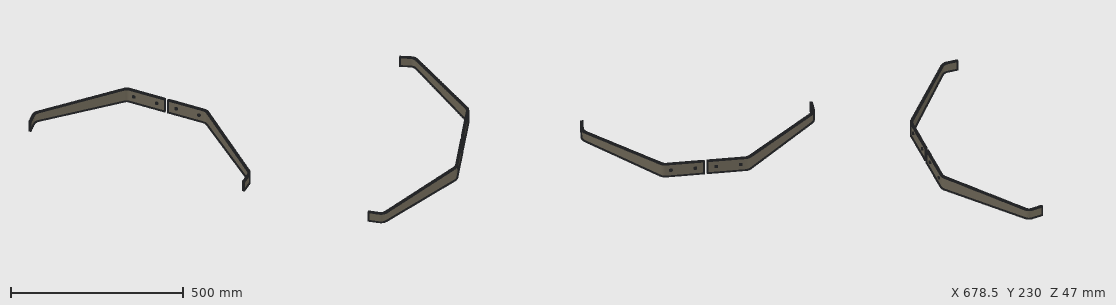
import cadquery as cq
import math

width = 678.5
depth = 230.0
height = 47.0

thickness = 5.0
inner_radius = 20.0
outer_radius = inner_radius + thickness
gap = 10.0
plate_end_x = gap / 2
plate_bend_x = 116.0
tip_bend_y = -197.0
tip_lean = math.radians(4)
tip_height = 33.0

hole_diameter = 6.0
hole_positions = [30.5, 102.0]
hole_z = height / 2

plate_bend_center = cq.Vector(plate_bend_x, -outer_radius)
tip_bend_center = cq.Vector(width / 2 - outer_radius, tip_bend_y)
arm_run = tip_bend_center - plate_bend_center
arm_angle = math.atan2(-arm_run.y, arm_run.x)

plate_normal = math.pi / 2
arm_normal = plate_normal - arm_angle
tip_normal = -tip_lean
tip_length = (depth + tip_bend_y - outer_radius * math.sin(tip_lean)) / math.cos(tip_lean)


def bend_point(center, radius, angle):
    return center + cq.Vector(math.cos(angle), math.sin(angle)) * radius


def surface_points(radius):
    """Points along one strip face: plate end, both bends with midpoints, tip end."""
    plate_end = cq.Vector(plate_end_x, plate_bend_center.y + radius)
    plate_bend = [
        bend_point(plate_bend_center, radius, angle)
        for angle in (plate_normal, (plate_normal + arm_normal) / 2, arm_normal)
    ]
    tip_bend = [
        bend_point(tip_bend_center, radius, angle)
        for angle in (arm_normal, (arm_normal + tip_normal) / 2, tip_normal)
    ]
    tip_end = tip_bend[-1] + cq.Vector(-math.sin(tip_lean), -math.cos(tip_lean)) * tip_length
    return [plate_end, *plate_bend, *tip_bend, tip_end]


def bent_strip():
    outer = surface_points(outer_radius)
    inner = surface_points(inner_radius)[::-1]
    profile = cq.Workplane("XY").moveTo(outer[0].x, outer[0].y)
    for index, face in enumerate((outer, inner)):
        start, bend_1, middle_1, arm_1, arm_2, middle_2, bend_2, end = face
        if index > 0:
            profile = profile.lineTo(start.x, start.y)
        profile = (
            profile.lineTo(bend_1.x, bend_1.y)
            .threePointArc(middle_1.toTuple()[:2], arm_1.toTuple()[:2])
            .lineTo(arm_2.x, arm_2.y)
            .threePointArc(middle_2.toTuple()[:2], bend_2.toTuple()[:2])
            .lineTo(end.x, end.y)
        )
    return profile.close().extrude(height)


def side_envelope():
    """Front silhouette: full height at the plate, tapering along the arm to the tip."""
    taper_start_x = bend_point(plate_bend_center, inner_radius, arm_normal).x
    taper_end_x = bend_point(tip_bend_center, outer_radius, arm_normal).x
    return (
        cq.Workplane("XZ")
        .polyline([
            (0, 0),
            (width / 2, 0),
            (width / 2, tip_height),
            (taper_end_x, tip_height),
            (taper_start_x, height),
            (0, height),
        ])
        .close()
        .extrude(depth)
    )


def mounting_holes():
    return (
        cq.Workplane("XZ")
        .pushPoints([(x, hole_z) for x in hole_positions])
        .circle(hole_diameter / 2)
        .extrude(outer_radius)
    )


def bracket(mirrored):
    body = bent_strip().intersect(side_envelope()).cut(mounting_holes())
    if mirrored:
        body = body.mirror("YZ")
    return body


brackets = [bracket(mirrored) for mirrored in (False, True)]
result = cq.Compound.makeCompound([body.val() for body in brackets])